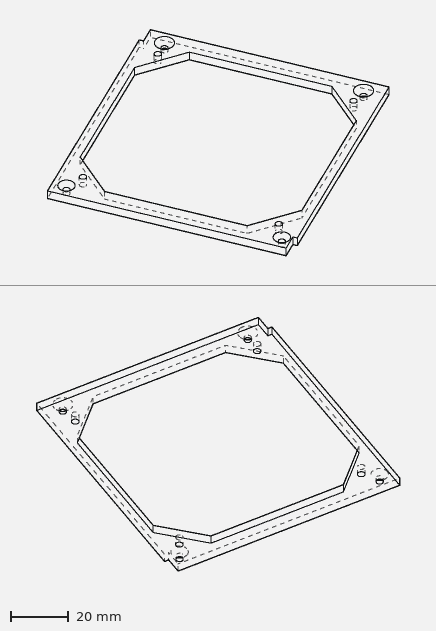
import cadquery as cq

width = 90.2
length = 95.9
thickness = 3.5

notch_width = 1.6
notch_length = 6.6

opening_side = 82.3
opening_corner = 14.7

pin_hole_diameter = 2.6
pin_hole_spacing = 72.7

screw_hole_diameter = 2.5
countersink_angle = 90.0
large_head_diameter = 7.0
small_head_diameter = 6.0
screw_row_y = 42.9
back_left_screw_x = -pin_hole_spacing / 2
back_right_screw_x = 37.6
front_screw_x = 40.0


def make_plate():
    """Flat plate resting on Z = 0, notched at back left and front right."""
    plate = cq.Workplane("XY").box(width, length, thickness, centered=(True, True, False))
    notches = (
        cq.Workplane("XY")
        .pushPoints([(-width / 2, length / 2), (width / 2, -length / 2)])
        .rect(2 * notch_width, 2 * notch_length)
        .extrude(thickness)
    )
    return plate.cut(notches)


def make_opening():
    """Octagonal prism that forms the central opening."""
    return (
        cq.Workplane("XY")
        .rect(opening_side, opening_side)
        .extrude(thickness)
        .edges("|Z")
        .chamfer(opening_corner)
    )


def drill_pin_holes(plate):
    return (
        plate.faces(">Z")
        .workplane(origin=(0, 0, thickness))
        .rect(pin_hole_spacing, pin_hole_spacing, forConstruction=True)
        .vertices()
        .hole(pin_hole_diameter)
    )


def drill_screw_holes(plate, centers, head_diameter):
    return (
        plate.faces(">Z")
        .workplane(origin=(0, 0, thickness))
        .pushPoints(centers)
        .cskHole(screw_hole_diameter, head_diameter, countersink_angle)
    )


back_screws = [(back_left_screw_x, screw_row_y), (back_right_screw_x, screw_row_y)]
front_screws = [(-front_screw_x, -screw_row_y), (front_screw_x, -screw_row_y)]

result = make_plate().cut(make_opening())
result = drill_pin_holes(result)
result = drill_screw_holes(result, back_screws, large_head_diameter)
result = drill_screw_holes(result, front_screws, small_head_diameter)